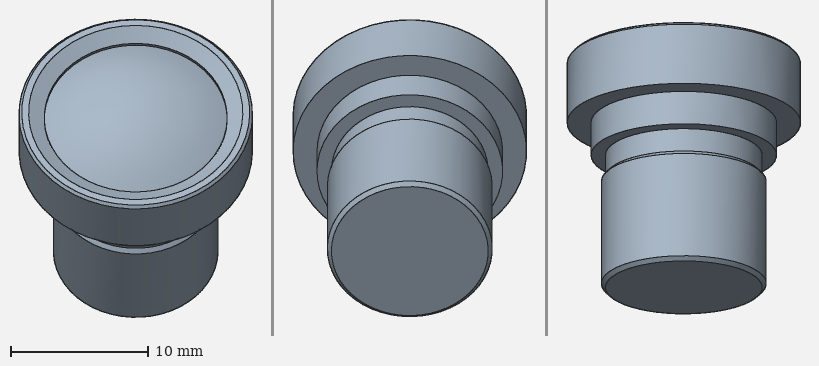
import cadquery as cq
import math

barrel_top = 8.5
neck_top = 10.22
collar_top = 12.73
head_top = 17.5
dome_top = 18.55

barrel_radius = 12.0 / 2
neck_radius = 11.4 / 2
collar_radius = 13.5 / 2
head_radius = 17.0 / 2
recess_mouth_radius = 7.8
lens_radius = 13.3 / 2

barrel_chamfer = 0.3
head_chamfer = 0.2
recess_depth = 0.65

dome_half_chord = 5.0
dome_rise = dome_top - head_top
dome_sphere_radius = (dome_half_chord**2 + dome_rise**2) / (2 * dome_rise)
sphere_center = dome_top - dome_sphere_radius


def dome_height(radius):
    """Height of the lens surface at a distance from the axis."""
    return sphere_center + math.sqrt(dome_sphere_radius**2 - radius**2)


profile = (
    cq.Workplane("XZ")
    .lineTo(barrel_radius - barrel_chamfer, 0)
    .lineTo(barrel_radius, barrel_chamfer)
    .lineTo(barrel_radius, barrel_top - barrel_chamfer)
    .lineTo(neck_radius, barrel_top)
    .lineTo(neck_radius, neck_top)
    .lineTo(collar_radius, neck_top)
    .lineTo(collar_radius, collar_top)
    .lineTo(head_radius, collar_top)
    .lineTo(head_radius, head_top - head_chamfer)
    .lineTo(head_radius - head_chamfer, head_top)
    .lineTo(recess_mouth_radius, head_top)
    .lineTo(lens_radius, head_top - recess_depth)
    .lineTo(lens_radius, dome_height(lens_radius))
    .threePointArc((lens_radius / 2, dome_height(lens_radius / 2)), (0, dome_top))
    .close()
)

result = profile.revolve(360, (0, 0, 0), (0, 1, 0))